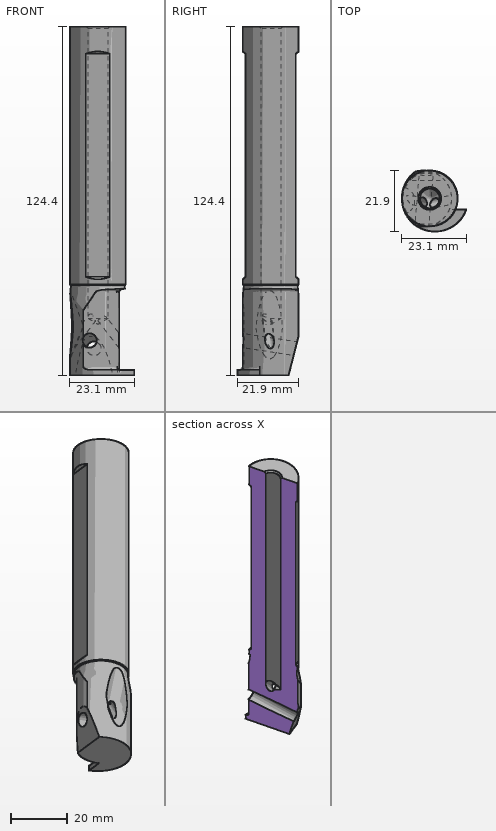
import cadquery as cq
import math

total_height = 124.42
shank_radius = 10.0
shank_bottom = 32.1
shank_chamfer = 0.35

flat_distance = 9.0
flat_bottom = 35.2
flat_top = 114.7
flat_end_run = 0.9

head_radius = 11.87
head_center_x = 1.88
cone_top = 31.5
cone_top_radius = 9.65
cone_slope = 0.15

neck_radius = 10.0
neck_center_x = -2.3
neck_top = 29.7
neck_fillet = 1.0
overhang_angle = 14.0
overhang_reach = 2.5

plate_thickness = 2.0
plate_edge_y = -3.9

relief_bottom_y = 6.4
relief_height = 14.0
relief_slope = 0.255

bore_radius = 3.5
bore_mouth_radius = 4.1
bore_bottom = 20.4
drill_tip_angle = 118.0

pocket_radius = 4.9
pocket_center = cq.Vector(-10.3, -0.7, 17.3)
pocket_upper_tilt = 20.0
pocket_lower_tilt = 24.0
pocket_run = 25.0

cross_hole_radius = 2.5
cross_hole_entry = cq.Vector(-2.9, -10.0, 12.5)
cross_hole_exit = cq.Vector(-1.35, 9.0, 9.6)

duct_radius = 1.6
duct_length = 14.0
duct_lead = 2.5
pocket_duct_start = cq.Vector(-2.9, -1.2, 19.5)
pocket_duct_direction = cq.Vector(-4.1, 0.75, -5.3)
side_duct_start = cq.Vector(2.05, -1.5, 19.5)
side_duct_direction = cq.Vector(4.1, 0.8, -5.3)

margin = 5.0


def disc(radius, center_x, bottom, top):
    base = cq.Workplane("XY", origin=(center_x, 0, bottom))
    return base.circle(radius).extrude(top - bottom)


def rod(radius, start, direction, length):
    return cq.Workplane(obj=cq.Solid.makeCylinder(radius, length, start, direction))


def make_flat_cutter():
    outer_y = shank_radius + margin
    end_run = flat_end_run * (outer_y - flat_distance) / (shank_radius - flat_distance)
    return (
        cq.Workplane("YZ")
        .moveTo(flat_distance, flat_bottom)
        .lineTo(outer_y, flat_bottom - end_run)
        .lineTo(outer_y, flat_top + end_run)
        .lineTo(flat_distance, flat_top)
        .close()
        .extrude(shank_radius, both=True)
    )


def make_shank():
    shank = disc(shank_radius, 0, shank_bottom, total_height).faces("<Z").chamfer(shank_chamfer)
    flat_cutter = make_flat_cutter()
    return shank.cut(flat_cutter).cut(flat_cutter.mirror("XZ"))


def make_head_envelope():
    cone = (
        cq.Workplane("XZ")
        .lineTo(cone_top_radius + cone_slope * cone_top, 0)
        .lineTo(cone_top_radius, cone_top)
        .lineTo(cone_top_radius, shank_bottom)
        .lineTo(0, shank_bottom)
        .close()
        .revolve(360, (0, 0, 0), (0, 1, 0))
    )
    return disc(head_radius, head_center_x, 0, shank_bottom).intersect(cone)


def make_neck():
    foot_radius = neck_radius + neck_fillet
    foot_middle = math.radians(45)
    rise = math.radians(overhang_angle)
    fillet_end = math.pi / 2 - rise
    reach_rise = (overhang_reach - neck_fillet * (1 - math.cos(fillet_end))) * math.tan(rise)

    def fillet_point(angle, base, side):
        radius = foot_radius - neck_fillet * math.cos(angle)
        return radius, base + side * neck_fillet * math.sin(angle)

    foot_top = plate_thickness + neck_fillet
    upper_end = fillet_point(fillet_end, neck_top, 1)
    return (
        cq.Workplane("XZ", origin=(neck_center_x, 0, 0))
        .moveTo(0, plate_thickness)
        .lineTo(foot_radius, plate_thickness)
        .threePointArc(fillet_point(foot_middle, foot_top, -1), (neck_radius, foot_top))
        .lineTo(neck_radius, neck_top)
        .threePointArc(fillet_point(fillet_end / 2, neck_top, 1), upper_end)
        .lineTo(neck_radius + overhang_reach, upper_end[1] + reach_rise)
        .lineTo(neck_radius + overhang_reach, shank_bottom)
        .lineTo(0, shank_bottom)
        .close()
        .revolve(360, (0, 0, 0), (0, 1, 0))
    )


def make_plate_trim():
    trim_size = head_radius + neck_radius
    height = plate_thickness + neck_fillet
    corner = cq.Workplane("XY", origin=(0, plate_edge_y, 0))
    block = corner.box(trim_size, trim_size, height, centered=False)
    return block.cut(disc(neck_radius, neck_center_x, 0, height))


def make_relief_cutter():
    outer_y = head_radius + margin
    return (
        cq.Workplane("YZ")
        .moveTo(relief_bottom_y, 0)
        .lineTo(relief_bottom_y + relief_slope * relief_height, relief_height)
        .lineTo(outer_y, relief_height)
        .lineTo(outer_y, 0)
        .close()
        .extrude(head_radius + margin, both=True)
    )


def make_head():
    plate = disc(head_radius, head_center_x, 0, plate_thickness)
    head = make_head_envelope().intersect(make_neck().union(plate))
    return head.cut(make_plate_trim()).cut(make_relief_cutter())


def make_bore():
    tip_depth = bore_radius / math.tan(math.radians(drill_tip_angle / 2))
    mouth_depth = bore_mouth_radius - bore_radius
    return (
        cq.Workplane("XZ")
        .moveTo(0, bore_bottom - tip_depth)
        .lineTo(bore_radius, bore_bottom)
        .lineTo(bore_radius, total_height - mouth_depth)
        .lineTo(bore_mouth_radius, total_height)
        .lineTo(0, total_height)
        .close()
        .revolve(360, (0, 0, 0), (0, 1, 0))
    )


def make_pocket():
    pocket = cq.Workplane("XY").sphere(pocket_radius).translate(pocket_center)
    for tilt, side in ((pocket_upper_tilt, 1), (pocket_lower_tilt, -1)):
        angle = math.radians(tilt)
        direction = cq.Vector(-math.sin(angle), 0, side * math.cos(angle))
        pocket = pocket.union(rod(pocket_radius, pocket_center, direction, pocket_run))
    return pocket


def make_cross_hole():
    axis = (cross_hole_exit - cross_hole_entry).normalized()
    length = (cross_hole_exit - cross_hole_entry).Length + 2 * margin
    return rod(cross_hole_radius, cross_hole_entry - axis * margin, axis, length)


def make_duct(start, direction):
    axis = direction.normalized()
    return rod(duct_radius, start - axis * duct_lead, axis, duct_length + duct_lead)


result = make_shank().union(make_head())
result = result.cut(make_bore()).cut(make_pocket()).cut(make_cross_hole())
result = result.cut(make_duct(pocket_duct_start, pocket_duct_direction))
result = result.cut(make_duct(side_duct_start, side_duct_direction))